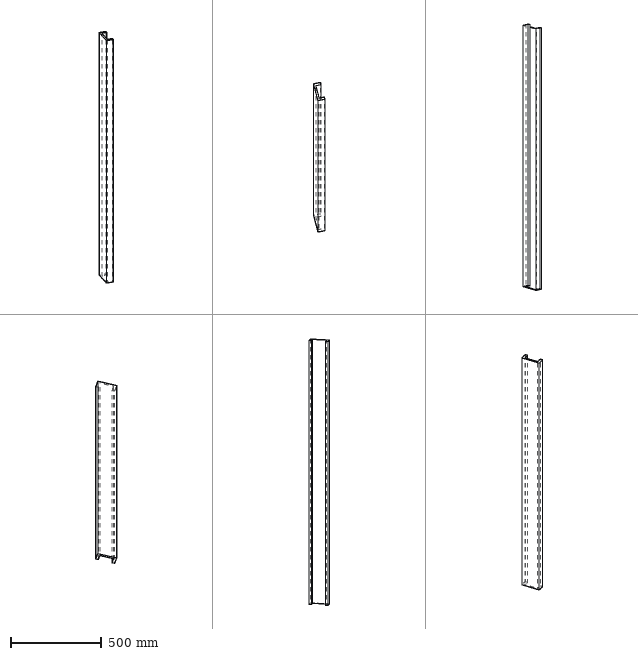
import cadquery as cq

length = 1500.0
width = 110.0
depth = 40.0
web_thickness = 10.0
flange_thickness = 15.0

channel_width = width - 2 * flange_thickness
channel_depth = depth - web_thickness

bar = cq.Workplane("XY").box(width, depth, length)

channel = (
    cq.Workplane("XY")
    .box(channel_width, channel_depth, length)
    .translate((0, web_thickness / 2, 0))
)

result = bar.cut(channel)